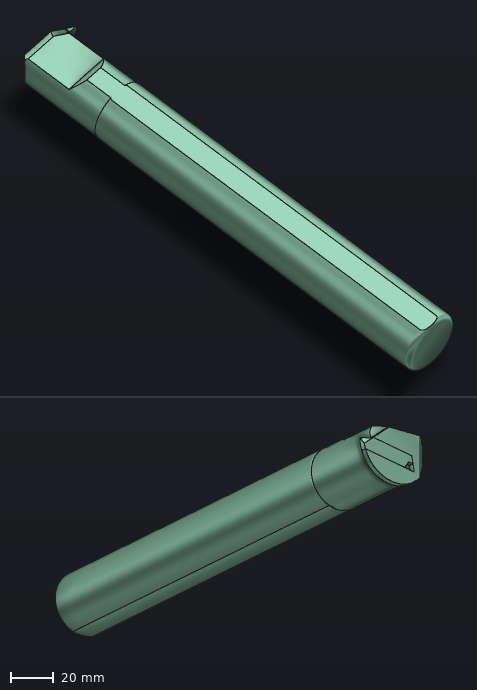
import cadquery as cq
import math

LENGTH = 250.0
SHANK_RADIUS = 16.0
FLAT_HEIGHT = 15.0
END_FILLET = 3.0
HEAD_LENGTH = 50.0
HEAD_RADIUS = 15.7
STEP_LENGTH = 0.7

RECESS_HEIGHT = 10.2
RECESS_RAMP_START = 30.0
NOSE_BEVEL_LENGTH = 4.0
NOSE_BEVEL_DROP = 2.2
SIDE_BEVEL_Y = -10.2

TIP_Y = 23.0
PLATE_RADIUS = 19.2
PLATE_Y = TIP_Y - PLATE_RADIUS
PLATE_THICKNESS = 3.0

CLEARANCE_Y = 18.0
CLEARANCE_ANGLE = 39.0
CLEARANCE_DEPTH = 3.7

POCKET_Y = -5.2
POCKET_Z = -3.2
POCKET_TILT = 9.5
POCKET_HEIGHT = 7.5
POCKET_LEAN = 2.7

RELIEF_BOTTOM = 3.0
RELIEF_TOP = 1.0
RELIEF_DEPTH = 3.7

CUT_SIZE = 50.0


def cylinder(radius, start, length, center_y=0.0):
    """Cylinder along X."""
    return cq.Workplane("YZ", origin=(start, center_y, 0)).circle(radius).extrude(length)


def make_shank():
    shank = cylinder(SHANK_RADIUS, HEAD_LENGTH, LENGTH - HEAD_LENGTH)
    shank = shank.faces(">X").edges().fillet(END_FILLET)
    step = SHANK_RADIUS - HEAD_RADIUS
    outside_cone = (
        cq.Workplane("XY")
        .moveTo(HEAD_LENGTH, HEAD_RADIUS)
        .lineTo(HEAD_LENGTH + STEP_LENGTH, HEAD_RADIUS + step)
        .lineTo(HEAD_LENGTH, HEAD_RADIUS + step)
        .close()
        .revolve(360, (0, 0, 0), (1, 0, 0))
    )
    shank = shank.cut(outside_cone)
    between_flats = cq.Workplane("XY").box(2 * LENGTH, CUT_SIZE, 2 * FLAT_HEIGHT)
    return shank.intersect(between_flats)


def top_cutter():
    """Top flat over the whole head, clearance flat and nose bevel."""
    ramp_end = RECESS_RAMP_START + FLAT_HEIGHT - RECESS_HEIGHT
    return (
        cq.Workplane("XZ")
        .moveTo(0, RECESS_HEIGHT - NOSE_BEVEL_DROP)
        .lineTo(NOSE_BEVEL_LENGTH, RECESS_HEIGHT)
        .lineTo(RECESS_RAMP_START, RECESS_HEIGHT)
        .lineTo(ramp_end, FLAT_HEIGHT)
        .lineTo(HEAD_LENGTH, FLAT_HEIGHT)
        .lineTo(HEAD_LENGTH, CUT_SIZE)
        .lineTo(0, CUT_SIZE)
        .close()
        .extrude(CUT_SIZE, both=True)
    )


def side_bevel_cutter():
    """45 degree bevel on the -Y side of the front face."""
    return (
        cq.Workplane("XY")
        .moveTo(0, SIDE_BEVEL_Y)
        .lineTo(CUT_SIZE, SIDE_BEVEL_Y - CUT_SIZE)
        .lineTo(0, SIDE_BEVEL_Y - CUT_SIZE)
        .close()
        .extrude(CUT_SIZE, both=True)
    )


def clearance_cutter():
    """Slope beside the tip, ending in a 45 degree wall."""
    angle = math.radians(CLEARANCE_ANGLE)
    plane = cq.Plane(
        origin=(0, CLEARANCE_Y, 0),
        xDir=(1, 0, 0),
        normal=(0, math.cos(angle), -math.sin(angle)),
    )
    return (
        cq.Workplane(plane)
        .lineTo(0, -CUT_SIZE)
        .lineTo(CLEARANCE_DEPTH + CUT_SIZE, -CUT_SIZE)
        .lineTo(CLEARANCE_DEPTH, 0)
        .close()
        .extrude(CUT_SIZE, both=True)
    )


def tilted_prism(points):
    """Outline in pocket coordinates (outward, upward), tilted and put in place."""
    return (
        cq.Workplane("YZ")
        .polyline(points)
        .close()
        .extrude(PLATE_THICKNESS)
        .rotate((0, 0, 0), (1, 0, 0), POCKET_TILT)
        .translate((0, POCKET_Y, POCKET_Z))
    )


def pocket_strip():
    """Tilted slot running outward from its leaning inner end."""
    return tilted_prism([
        (0, 0),
        (CUT_SIZE, 0),
        (CUT_SIZE, -POCKET_HEIGHT),
        (-POCKET_LEAN, -POCKET_HEIGHT),
    ])


def make_holder():
    head = cylinder(HEAD_RADIUS, 0, HEAD_LENGTH)
    head = head.union(cylinder(PLATE_RADIUS, 0, PLATE_THICKNESS, PLATE_Y))
    head = head.cut(top_cutter()).cut(side_bevel_cutter())
    head = head.cut(clearance_cutter()).cut(pocket_strip())
    return head.union(make_shank())


def corner_relief():
    """Notch at the lower inner corner of the insert, open to the pocket."""
    return tilted_prism([
        (-POCKET_LEAN, -POCKET_HEIGHT),
        (RELIEF_BOTTOM, -POCKET_HEIGHT),
        (RELIEF_TOP, -RELIEF_DEPTH),
        (-POCKET_LEAN, -RELIEF_DEPTH),
    ])


def tip_rake_cutter():
    """Oblique face from the slope on the front face up to z = 0 at the back of the tip."""
    drop_per_y = math.tan(math.radians(CLEARANCE_ANGLE))
    front_edge = cq.Vector(0, 1, -drop_per_y)
    back_edge = cq.Vector(PLATE_THICKNESS, TIP_Y - CLEARANCE_Y, 0)
    plane = cq.Plane(
        origin=(0, CLEARANCE_Y, 0),
        xDir=back_edge,
        normal=back_edge.cross(front_edge),
    )
    return cq.Workplane(plane).rect(CUT_SIZE, CUT_SIZE).extrude(CUT_SIZE)


def make_insert():
    insert = pocket_strip().intersect(cylinder(PLATE_RADIUS, 0, PLATE_THICKNESS, PLATE_Y))
    insert = insert.cut(corner_relief())

    outside = (
        cq.Workplane("XY")
        .box(2 * CUT_SIZE, 2 * CUT_SIZE, 4 * CUT_SIZE, centered=(True, False, True))
        .translate((0, CLEARANCE_Y, 0))
    )
    above_tip = (
        cq.Workplane("XY", origin=(0, CLEARANCE_Y, 0))
        .box(CUT_SIZE, CUT_SIZE, CUT_SIZE, centered=(True, False, False))
    )
    inner_slope = clearance_cutter().cut(outside)
    outer_rake = tip_rake_cutter().intersect(outside)
    return insert.cut(above_tip).cut(inner_slope).cut(outer_rake)


holder = make_holder().solids()
insert = make_insert().solids()
result = cq.Compound.makeCompound([holder.val(), insert.val()])